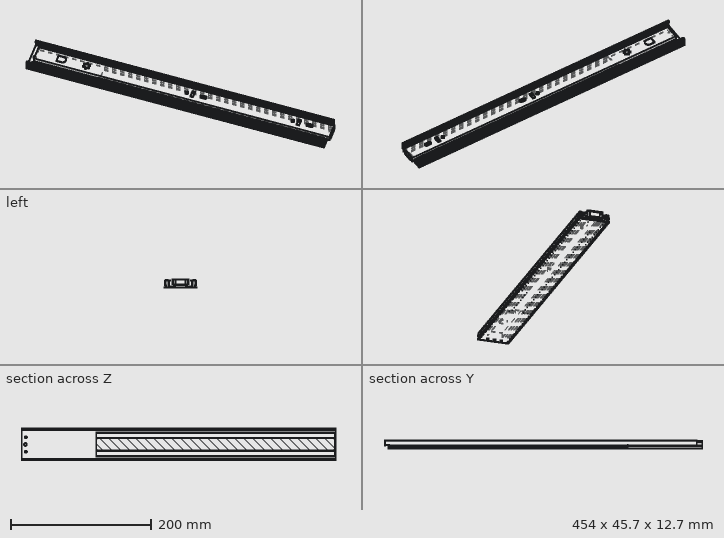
import cadquery as cq


total_length = 454.0
total_width = 45.7
total_height = 12.7
sheet = 1.2

cabinet_length = 449.0
cabinet_height = 11.4
cabinet_half_width = total_width / 2
neck_top = 3.9
neck_outer = cabinet_half_width - 1.25
neck_inner = neck_outer - 1.0
wall_bulge = 0.35
bulge_top = 8.5
wall_top = 9.7
wall_outer = cabinet_half_width - wall_bulge
cabinet_bend = 2.3
cabinet_lip_edge = cabinet_half_width - 4.3

middle_start = 106.5
middle_end = 447.5
middle_height = 11.3
middle_half_width = 17.2
middle_bend = 2.0
middle_lip_edge = 14.4
middle_lip_thickness = 0.8
middle_floor = 1.5
web_bottom = 4.0
web_half_width = 7.3
web_slope_run = 1.2
web_flank_thickness = 1.1

drawer_start = 8.0
drawer_half_width = 11.8
drawer_bend = 1.4
drawer_wall_bottom = 5.4
end_tab_half_width = 7.4
end_tab_bottom = 4.2

centre_hole_x = 5.5
centre_hole_diameter = 3.8
side_hole_x = 6.2
side_hole_y = 10.3
side_hole_diameter = 2.6

latch_start = 39.8
latch_width = 10.0
latch_straight = 7.6
star_x = 83.6
star_centre_diameter = 6.0
star_lobes = 6
star_lobe_circle = 4.1
star_lobe_diameter = 2.4
mount_group_first_x = 234.5
mount_group_pitch = 160.0
mount_group_count = 2
mount_hole_diameter = 4.4
window_offset = 8.9
window_length = 4.0
window_width = 9.6
slot_offset = 25.2
slot_length = 9.6
slot_width = 4.4


def both_sides(half):
    """Complete a member whose +Y half has been modelled."""
    return half.union(half.mirror("XZ"))


def make_cabinet_member():
    bend_y = wall_outer - cabinet_bend
    wall_inner = wall_outer - sheet
    lip_bottom = cabinet_height - sheet
    half = (
        cq.Workplane("YZ")
        .lineTo(cabinet_half_width, 0)
        .lineTo(cabinet_half_width, sheet)
        .lineTo(neck_outer, sheet)
        .lineTo(neck_outer, neck_top)
        .lineTo(wall_outer, neck_top)
        .threePointArc((cabinet_half_width, (neck_top + bulge_top) / 2), (wall_outer, bulge_top))
        .lineTo(wall_outer, wall_top)
        .radiusArc((bend_y, cabinet_height), -cabinet_bend)
        .lineTo(cabinet_lip_edge, cabinet_height)
        .lineTo(cabinet_lip_edge, lip_bottom)
        .lineTo(wall_inner, lip_bottom)
        .lineTo(wall_inner, neck_top + sheet)
        .lineTo(neck_inner, neck_top)
        .lineTo(neck_inner, sheet)
        .lineTo(0, sheet)
        .close()
        .extrude(cabinet_length)
    )
    side_holes = (
        cq.Workplane("XY")
        .pushPoints([(side_hole_x, side_hole_y), (side_hole_x, -side_hole_y)])
        .circle(side_hole_diameter / 2)
        .extrude(sheet)
    )
    centre_hole = (
        cq.Workplane("XY")
        .center(centre_hole_x, 0)
        .circle(centre_hole_diameter / 2)
        .extrude(sheet)
    )
    return both_sides(half).cut(side_holes).cut(centre_hole)


def make_middle_member():
    bend_y = middle_half_width - middle_bend
    bend_z = middle_height - middle_bend
    wall_inner = middle_half_width - sheet
    lip_bottom = middle_height - middle_lip_thickness
    floor_top = middle_floor + sheet
    web_top = web_bottom + sheet
    flank_foot = web_half_width + web_slope_run
    half = (
        cq.Workplane("YZ", origin=(middle_start, 0, 0))
        .moveTo(0, web_bottom)
        .lineTo(web_half_width, web_bottom)
        .lineTo(flank_foot, middle_floor)
        .lineTo(middle_half_width, middle_floor)
        .lineTo(middle_half_width, bend_z)
        .radiusArc((bend_y, middle_height), -middle_bend)
        .lineTo(middle_lip_edge, middle_height)
        .lineTo(middle_lip_edge, lip_bottom)
        .lineTo(bend_y, lip_bottom)
        .lineTo(wall_inner, bend_z)
        .lineTo(wall_inner, floor_top)
        .lineTo(flank_foot + web_flank_thickness, floor_top)
        .lineTo(web_half_width + web_flank_thickness, web_top)
        .lineTo(0, web_top)
        .close()
        .extrude(middle_end - middle_start)
    )
    return both_sides(half)


def make_latch_window(top):
    end_radius = latch_width / 2
    straight_end = latch_start + latch_straight
    return (
        top.moveTo(latch_start, -end_radius)
        .lineTo(straight_end, -end_radius)
        .threePointArc((straight_end + end_radius, 0), (straight_end, end_radius))
        .lineTo(latch_start, end_radius)
        .close()
        .extrude(sheet)
    )


def make_star_hole(top):
    middle = top.center(star_x, 0)
    centre = middle.circle(star_centre_diameter / 2).extrude(sheet)
    lobes = (
        middle.polarArray(star_lobe_circle, 90, 360, star_lobes)
        .circle(star_lobe_diameter / 2)
        .extrude(sheet)
    )
    return centre.union(lobes)


def make_mount_group(top, x):
    """Round hole, cross slot and long slot of one mounting position."""
    hole = top.center(x, 0).circle(mount_hole_diameter / 2).extrude(sheet)
    window = top.center(x + window_offset, 0).rect(window_length, window_width).extrude(sheet)
    slot = top.center(x + slot_offset, 0).slot2D(slot_length, slot_width).extrude(sheet)
    return hole.union(window).union(slot)


def make_drawer_member():
    wall_inner = drawer_half_width - sheet
    top_underside = total_height - sheet
    half = (
        cq.Workplane("YZ", origin=(drawer_start, 0, 0))
        .moveTo(0, total_height)
        .lineTo(drawer_half_width - drawer_bend, total_height)
        .radiusArc((drawer_half_width, total_height - drawer_bend), drawer_bend)
        .lineTo(drawer_half_width, drawer_wall_bottom)
        .lineTo(wall_inner, drawer_wall_bottom)
        .lineTo(wall_inner, top_underside)
        .lineTo(0, top_underside)
        .close()
        .extrude(total_length - drawer_start)
    )
    end_tab = cq.Workplane("XY", origin=(total_length - sheet, 0, end_tab_bottom)).box(
        sheet, 2 * end_tab_half_width, total_height - end_tab_bottom, centered=(False, True, False)
    )
    member = both_sides(half).union(end_tab)

    top = cq.Workplane("XY", origin=(0, 0, top_underside))
    member = member.cut(make_latch_window(top)).cut(make_star_hole(top))
    for i in range(mount_group_count):
        member = member.cut(make_mount_group(top, mount_group_first_x + i * mount_group_pitch))
    return member


cabinet_member = make_cabinet_member()
middle_member = make_middle_member()
drawer_member = make_drawer_member()

result = cq.Compound.makeCompound([cabinet_member.val(), middle_member.val(), drawer_member.val()])